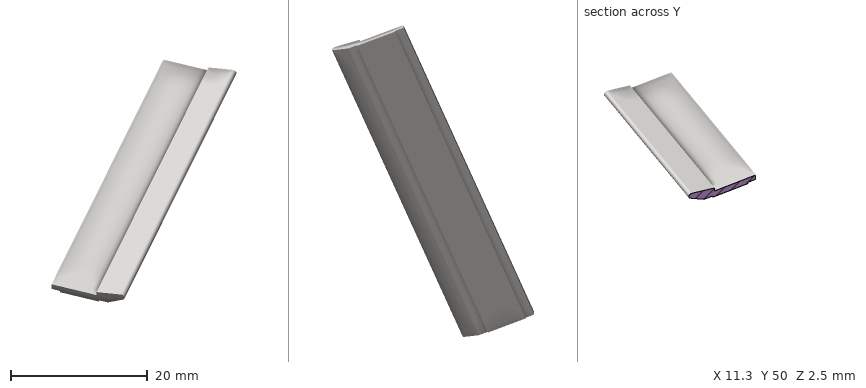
import cadquery as cq
import math

length = 50.0
width = 11.3
height = 2.5

pad_depth = 0.25
plate_top = 1.2
pad_start = 1.3
pad_width = 6.0

step_x = 6.95
step_top = 1.8
bend_x = 8.7
tip_radius = 0.5
tip_x = width - tip_radius
tip_z = height - tip_radius


def tip_tangent(x, z, side):
    """Point where a line from (x, z) touches the tip circle; side is 1 above, -1 below."""
    distance = math.hypot(x - tip_x, z - tip_z)
    direction = math.atan2(z - tip_z, x - tip_x)
    angle = direction - side * math.acos(tip_radius / distance)
    return tip_x + tip_radius * math.cos(angle), tip_z + tip_radius * math.sin(angle)


def extrude_along_length(profile):
    """Extrude an XZ profile over the full length, centred on Y = 0."""
    return profile.extrude(length / 2, both=True)


section = (
    cq.Workplane("XZ")
    .moveTo(0, pad_depth)
    .lineTo(bend_x, pad_depth)
    .lineTo(*tip_tangent(bend_x, pad_depth, -1))
    .threePointArc((width, tip_z), tip_tangent(step_x, step_top, 1))
    .lineTo(step_x, step_top)
    .lineTo(step_x, plate_top)
    .lineTo(0, plate_top)
    .close()
)
body = extrude_along_length(section)

pad_section = cq.Workplane("XZ").moveTo(pad_start, 0).rect(pad_width, pad_depth, centered=False)
pad = extrude_along_length(pad_section)

result = body.union(pad, clean=False)